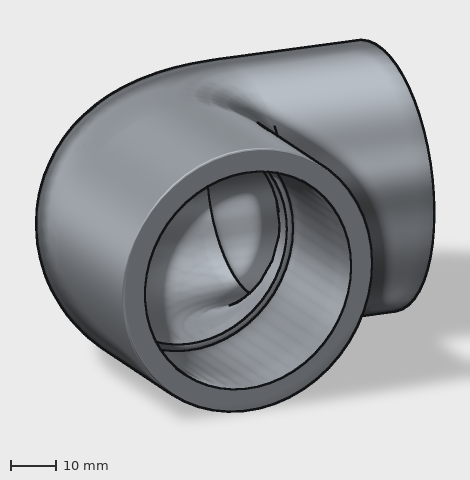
import cadquery as cq
import math

outer_diameter = 60.6
bore_diameter = 47.0
socket_diameter = 50.0
socket_depth = 31.0
length_x = 88.7
length_y = 88.5
rim_radius = 0.5

outer_radius = outer_diameter / 2
bend_radius = bore_diameter / 2
reach_x = length_x - outer_radius
reach_y = length_y - outer_radius


def leg_x(diameter, start, end):
    """Cylinder along X between two distances from the axis crossing."""
    return cq.Workplane("YZ", origin=(start, 0, 0)).circle(diameter / 2).extrude(end - start)


def leg_y(diameter, start, end):
    """Cylinder along Y between two distances from the axis crossing."""
    return cq.Workplane("XZ", origin=(0, start, 0)).circle(diameter / 2).extrude(start - end)


def bend(diameter):
    """Quarter turn joining the legs, limited to the outer side of its turning axis."""
    radius = diameter / 2
    plane = cq.Workplane("YZ", origin=(bend_radius, 0, 0))
    if radius > bend_radius:
        half_chord = math.sqrt(radius**2 - bend_radius**2)
        section = plane.moveTo(bend_radius, -half_chord)
        section = section.threePointArc((-radius, 0), (bend_radius, half_chord)).close()
    else:
        section = plane.circle(radius)
    return section.revolve(90, (bend_radius, 0), (bend_radius, -1))


def elbow(diameter):
    """Bend with both straight legs, mitred where they meet in the inner corner."""
    straight_x = leg_x(diameter, bend_radius, reach_x)
    straight_y = leg_y(diameter, bend_radius, reach_y)
    return bend(diameter).union(straight_x).union(straight_y)


body = elbow(outer_diameter)
body = body.faces(">X").edges().fillet(rim_radius)
body = body.faces(">Y").edges().fillet(rim_radius)

result = (
    body.cut(elbow(bore_diameter))
    .cut(leg_x(socket_diameter, reach_x - socket_depth, reach_x))
    .cut(leg_y(socket_diameter, reach_y - socket_depth, reach_y))
)